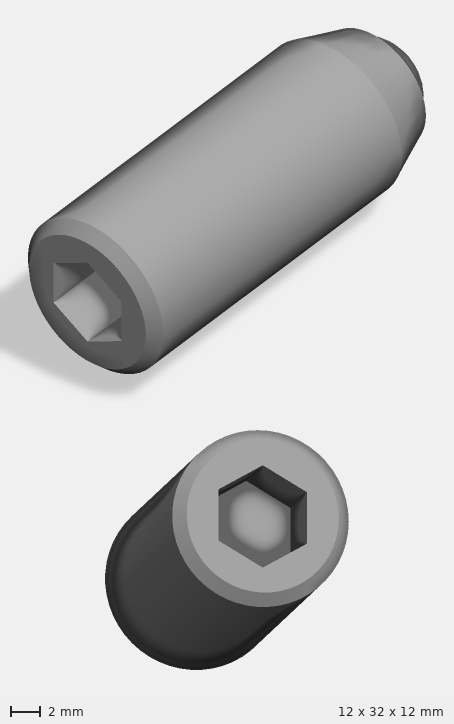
import cadquery as cq
import math

overall_length = 32.0
screw_diameter = 12.0
screw_length = 29.25
rear_chamfer = 0.83
nose_length = 4.15
nose_tip_diameter = 9.02
ball_diameter = 8.5
hex_across_flats = 6.0
hex_depth = 6.0

screw_radius = screw_diameter / 2
ball_radius = ball_diameter / 2
rear_y = -overall_length / 2
nose_tip_y = rear_y + screw_length
nose_start_y = nose_tip_y - nose_length
ball_center_y = overall_length / 2 - ball_radius


def make_ball():
    """Full ball held in the nose, its front cap standing proud."""
    return cq.Workplane("XY").sphere(ball_radius).translate((0, ball_center_y, 0))


def make_screw_blank():
    """Turned cylinder with a chamfered rear edge and a tapered nose."""
    profile = (
        cq.Workplane("XY")
        .moveTo(0, rear_y)
        .lineTo(screw_radius - rear_chamfer, rear_y)
        .lineTo(screw_radius, rear_y + rear_chamfer)
        .lineTo(screw_radius, nose_start_y)
        .lineTo(nose_tip_diameter / 2, nose_tip_y)
        .lineTo(0, nose_tip_y)
        .close()
    )
    return profile.revolve(360, (0, 0, 0), (0, 1, 0))


def make_hex_socket():
    """Blind hexagonal drive socket with two corners on the Z axis."""
    across_corners = hex_across_flats / math.cos(math.radians(30))
    socket = cq.Workplane("XY").polygon(6, across_corners).extrude(hex_depth)
    socket = socket.rotate((0, 0, 0), (0, 0, 1), 90).rotate((0, 0, 0), (1, 0, 0), -90)
    return socket.translate((0, rear_y, 0))


ball = make_ball()
screw = make_screw_blank().cut(make_hex_socket()).cut(ball)

result = cq.Compound.makeCompound([screw.solids().val(), ball.solids().val()])